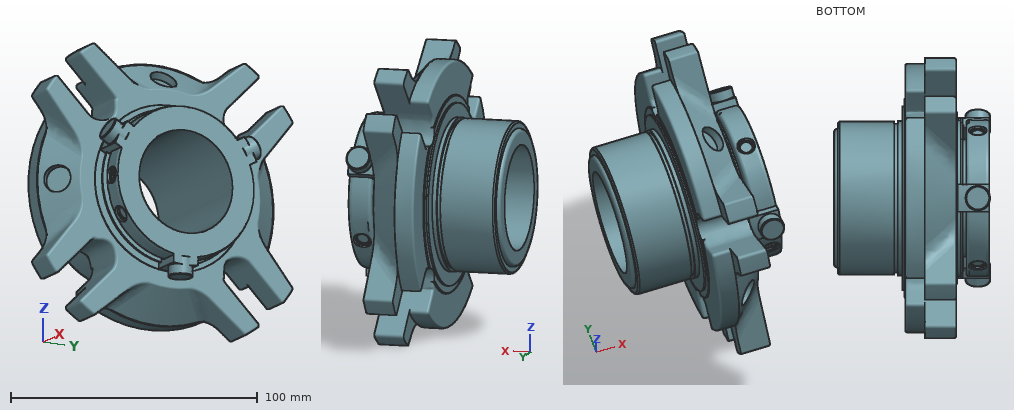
import cadquery as cq
import math


NOSE_LENGTH = 1.6
BARREL_END_X = 24.4
GROOVE_END_X = 25.9
SPIGOT_X = 27.7
STEP_X = 28.5
FLANGE_X = 28.9
LUG_X = 36.9
LUG_BACK_X = 49.6
COVER_END_X = 49.9
HUB_END_X = 51.4
RIM_END_X = 52.2
COLLAR_X = 53.55
COLLAR_END_X = 63.02
SCREW_AXIS_X = 58.32

BORE_D = 43.0
NOSE_D = 56.39
NOSE_EDGE_R = 1.59
BARREL_D = 62.23
BARREL_CHAMFER = 0.7
GROOVE_D = 60.4
SHOULDER_D = 62.8
SPIGOT_D = 74.5
STEP_D = 81.0
STEP_CHAMFER = 0.4
FLANGE_D = 109.2
FLANGE_EDGE_R = 1.0
FLANGE_CORNER_R = 1.2

CONE_FRONT_R = 54.2
CONE_ANGLE = 45.0
LUG_OUTER_R = 66.79
LUG_SIDE_OFFSET = 16.0
LUG_SIDE_AT = 63.4
LUG_SIDE_TAPER = 6.5
LUG_WEDGE_END = 68.0
LUG_INNER_R = 15.0
LUG_CORNER_R = 1.2
LUG_BACK_R = 1.0
LUG_ROOT_R = 6.7
RIM_BAND = 1.0
LUG_ANGLES = (45, 135, 225, 315)

SLOT_HALF_W = 7.25
SLOT_BOTTOM_AT = 37.9
SLOT_SIDE_END_AT = 45.6
SLOT_SHOULDER = (42.05, 6.3)
SLOT_FLANK = (39.3, 3.6)
SLOT_OPEN_AT = 75.0

PORT_D = 11.25
PORT_DEPTH = 3.5
FRONT_PORT_X = 42.8
TOP_PORT_X = 44.1

COVER_D = 69.6
HUB_D = 63.2
RIM_D = 65.0
NECK_D = 47.6
COLLAR_D = 63.5
COLLAR_FRONT_R = 1.4
COLLAR_BACK_LENGTH = 1.45
COLLAR_BACK_DROP = 0.4

CLIP_ANGLES = (30, 150, 270)
CLIP_X = 50.3
CLIP_W = 11.2
CLIP_INNER_R = 31.3
CLIP_OUTER_R = 34.8
TOOTH_X = 52.6
TOOTH_R = 30.2
HEAD_D = 10.0
HEAD_TOP_R = 38.9
HEAD_CHAMFER = 0.4

SET_SCREW_ANGLES = (90, 180, 210, 330)
SLOTTED_SCREW_ANGLE = 180
SINK_D = 7.4
SCREW_HOLE_D = 6.0
SINK_DEPTH = (SINK_D - SCREW_HOLE_D) / 2
SCREW_HOLE_DEPTH = 1.6
SCREW_TIP_D = 5.0
SCREW_TIP_HEIGHT = 0.4
SCREW_SLOT_W = 1.2

CONE_SLOPE = math.tan(math.radians(CONE_ANGLE))


def cone_radius(x):
    return CONE_FRONT_R - CONE_SLOPE * (x - LUG_X)


def disc(x_start, x_end, diameter):
    return cq.Workplane("YZ", origin=(x_start, 0, 0)).circle(diameter / 2).extrude(x_end - x_start)


def at_angle(shape, angle):
    """Turn a shape built on the +Y side about X to the given angle (90 is +Z)."""
    return shape.rotate((0, 0, 0), (1, 0, 0), angle)


def make_sleeve():
    nose = disc(0, NOSE_LENGTH, NOSE_D).faces("<X").edges().fillet(NOSE_EDGE_R)
    barrel = disc(NOSE_LENGTH, BARREL_END_X, BARREL_D).faces("<X").edges().chamfer(BARREL_CHAMFER)
    sleeve = nose.union(barrel)
    sleeve = sleeve.union(disc(BARREL_END_X, GROOVE_END_X, GROOVE_D))
    return sleeve.union(disc(GROOVE_END_X, SPIGOT_X, SHOULDER_D))


def slot_cutter(x_start, x_end):
    """U-shaped slot open outward along +Y: straight sides joined by one smooth curved bottom."""
    upper = [SLOT_SHOULDER, SLOT_FLANK]
    lower = [(at, -half_w) for at, half_w in reversed(upper)]
    bottom = upper + [(SLOT_BOTTOM_AT, 0)] + lower + [(SLOT_SIDE_END_AT, -SLOT_HALF_W)]
    return (
        cq.Workplane("YZ", origin=(x_start, 0, 0))
        .moveTo(SLOT_OPEN_AT, SLOT_HALF_W)
        .lineTo(SLOT_SIDE_END_AT, SLOT_HALF_W)
        .spline(bottom, tangents=[(-1, 0), (1, 0)], includeCurrent=True)
        .lineTo(SLOT_OPEN_AT, -SLOT_HALF_W)
        .close()
        .extrude(x_end - x_start)
    )


def cut_slots(body, x_start, x_end):
    cutter = slot_cutter(x_start, x_end)
    for angle in LUG_ANGLES:
        body = body.cut(at_angle(cutter, angle))
    return body


def round_outer_corners(body, rim_r, radius):
    """Round the corners along X that lie close to the rim."""
    corners = [
        edge for edge in body.edges("|X").vals()
        if abs(math.hypot(edge.Center().y, edge.Center().z) - rim_r) < RIM_BAND
    ]
    return body.newObject(corners).fillet(radius)


def make_step():
    step = disc(STEP_X, LUG_X, STEP_D).faces("<X").edges().chamfer(STEP_CHAMFER)
    return step.union(disc(SPIGOT_X, LUG_X, SPIGOT_D))


def lug_pair():
    """Block for two lugs on the +Y side, slightly wider toward the axis."""
    taper = math.tan(math.radians(LUG_SIDE_TAPER))
    inner_w = LUG_SIDE_OFFSET + taper * (LUG_SIDE_AT - LUG_INNER_R)
    outer_w = LUG_SIDE_OFFSET - taper * (LUG_WEDGE_END - LUG_SIDE_AT)
    wedge = (
        cq.Workplane("YZ", origin=(LUG_X, 0, 0))
        .polyline([
            (LUG_INNER_R, -inner_w),
            (LUG_WEDGE_END, -outer_w),
            (LUG_WEDGE_END, outer_w),
            (LUG_INNER_R, inner_w),
        ])
        .close()
        .extrude(LUG_BACK_X - LUG_X)
    )
    return wedge.intersect(disc(LUG_X, LUG_BACK_X, 2 * LUG_OUTER_R))


def make_lug_body():
    cone = (
        cq.Workplane("XY")
        .polyline([
            (LUG_X, 0),
            (LUG_BACK_X, 0),
            (LUG_BACK_X, cone_radius(LUG_BACK_X)),
            (LUG_X, CONE_FRONT_R),
        ])
        .close()
        .revolve(360, (0, 0, 0), (1, 0, 0))
    )
    body = cone
    for angle in LUG_ANGLES:
        body = body.union(at_angle(lug_pair(), angle))
    roots = [edge for edge in body.edges().vals() if edge.geomType() not in ("LINE", "CIRCLE")]
    return body.newObject(roots).fillet(LUG_ROOT_R)


def make_gland():
    """Flange, step and lugs, with the bolt slots cut through all of them."""
    gland = disc(FLANGE_X, LUG_X, FLANGE_D).union(make_lug_body())
    gland = cut_slots(gland, FLANGE_X, LUG_BACK_X)
    gland = round_outer_corners(gland, LUG_OUTER_R, LUG_CORNER_R)
    gland = round_outer_corners(gland, FLANGE_D / 2, FLANGE_CORNER_R)
    gland = gland.faces(">X").edges().fillet(LUG_BACK_R)
    gland = gland.faces("<X").edges().fillet(FLANGE_EDGE_R)
    return gland.union(cut_slots(make_step(), SPIGOT_X, LUG_X))


def port_cutter(port_x):
    """Blind hole on the +Y side, square to the cone surface at port_x."""
    axis = cq.Vector(math.sin(math.radians(CONE_ANGLE)), math.cos(math.radians(CONE_ANGLE)), 0)
    mouth = cq.Vector(port_x, cone_radius(port_x), 0)
    clearance = PORT_D
    start = mouth + axis * clearance
    return cq.Workplane(cq.Solid.makeCylinder(PORT_D / 2, clearance + PORT_DEPTH, start, axis * -1))


def make_hub():
    hub = disc(LUG_BACK_X, COVER_END_X, COVER_D)
    hub = hub.union(disc(COVER_END_X, HUB_END_X, HUB_D))
    hub = hub.union(disc(HUB_END_X, RIM_END_X, RIM_D))
    return hub.union(disc(RIM_END_X, COLLAR_X, NECK_D))


def make_collar():
    collar = disc(COLLAR_X, COLLAR_END_X, COLLAR_D)
    collar = collar.faces("<X").edges().fillet(COLLAR_FRONT_R)
    collar = collar.faces(">X").edges().chamfer(COLLAR_BACK_LENGTH, COLLAR_BACK_DROP)
    for angle in SET_SCREW_ANGLES:
        collar = collar.cut(at_angle(set_screw_pocket(angle == SLOTTED_SCREW_ANGLE), angle))
    return collar


def radial_cylinder(diameter, r_start, r_end):
    """Cylinder along +Y in the screw plane."""
    return (
        cq.Workplane("XZ", origin=(SCREW_AXIS_X, r_end, 0))
        .circle(diameter / 2)
        .extrude(r_end - r_start)
    )


def set_screw_pocket(slotted):
    """Countersunk hole on the +Y side with the end of a set screw standing in it."""
    rim_r = COLLAR_D / 2
    bottom_r = rim_r - SCREW_HOLE_DEPTH
    sink_bottom = cq.Vector(SCREW_AXIS_X, rim_r - SINK_DEPTH, 0)
    sink_cone = cq.Solid.makeCone(
        SCREW_HOLE_D / 2, SINK_D / 2 + SINK_DEPTH, 2 * SINK_DEPTH, sink_bottom, cq.Vector(0, 1, 0)
    )
    screw_tip = radial_cylinder(SCREW_TIP_D, bottom_r, bottom_r + SCREW_TIP_HEIGHT)
    if slotted:
        screw_slot = (
            cq.Workplane("XY")
            .box(SCREW_SLOT_W, SCREW_HOLE_DEPTH, SCREW_TIP_D)
            .translate((SCREW_AXIS_X, bottom_r + SCREW_HOLE_DEPTH / 2, 0))
        )
        screw_tip = screw_tip.cut(screw_slot)
    pocket = radial_cylinder(SCREW_HOLE_D, bottom_r, rim_r).cut(screw_tip)
    return pocket.union(cq.Workplane(sink_cone))


def ring(x_start, x_end, inner_r, outer_r):
    return disc(x_start, x_end, 2 * outer_r).cut(disc(x_start, x_end, 2 * inner_r))


def make_clip():
    """Setting clip on the +Y side: a strip of a ring with a tooth, held by a cap screw."""
    clip = ring(CLIP_X, COLLAR_END_X, CLIP_INNER_R, CLIP_OUTER_R)
    clip = clip.union(ring(TOOTH_X, COLLAR_X, TOOTH_R, CLIP_OUTER_R))
    strip = (
        cq.Workplane("XY")
        .box(COLLAR_END_X - CLIP_X, CLIP_OUTER_R, CLIP_W)
        .translate(((CLIP_X + COLLAR_END_X) / 2, CLIP_OUTER_R, 0))
    )
    head = radial_cylinder(HEAD_D, CLIP_INNER_R, HEAD_TOP_R).faces(">Y").edges().chamfer(HEAD_CHAMFER)
    return clip.intersect(strip).union(head)


def make_part():
    gland = make_gland()
    gland = gland.cut(at_angle(port_cutter(FRONT_PORT_X), 180))
    gland = gland.cut(at_angle(port_cutter(TOP_PORT_X), 90))
    part = make_sleeve().union(gland)
    part = part.union(make_hub()).union(make_collar())
    for angle in CLIP_ANGLES:
        part = part.union(at_angle(make_clip(), angle))
    return part.cut(disc(0, COLLAR_END_X, BORE_D))


result = make_part()